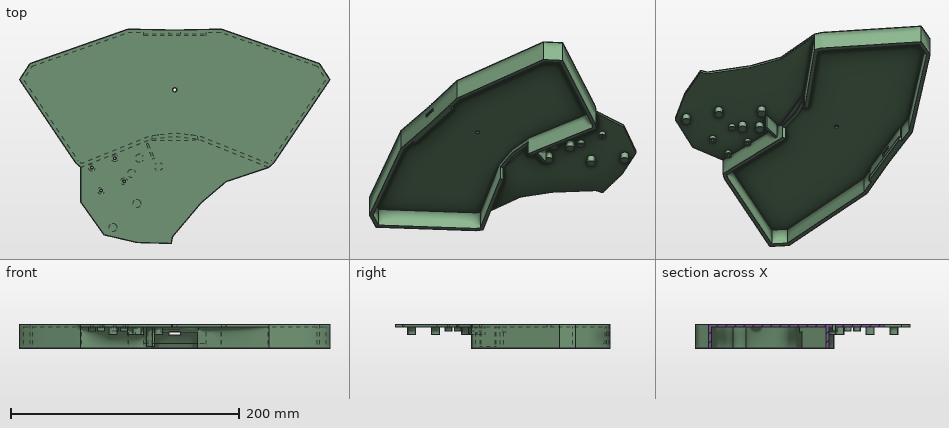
import cadquery as cq
import math

height = 21.0
roof_thickness = 2.5
roof_underside = height - roof_thickness
wall_thickness = 3.0

back_notch = (0, 52.5)
back_corner = (40.8, 53.3)
shoulder_corner = (126.6, 23.0)
side_corner = (136.0, 9.0)
hip_corner = (87.0, -63.5)
front_corner = (82.3, -68.0)
bay_corner = (20.7, -43.2)
bay_apex = (0, -40.8)

palm_rest_edge = [
    (-82.3, -98.0),
    (-62.0, -127.0),
    (-33.0, -133.7),
    (-3.0, -134.5),
    (-2.0, -128.5),
    (23.0, -99.0),
    (44.8, -80.5),
]

centre_hole_diameter = 3.5
screw_hole_diameter = 2.1
screw_boss_diameter = 6.0
screw_boss_length = 3.5
screw_pattern_corner = (-72.5, -68.0)
screw_pattern_pitch = 21.7
post_length = 6.5
post_diameter = 7.0
post_centres = [(-54.0, -120.5), (-33.2, -99.5), (-37.8, -73.0), (-31.0, -59.8), (-14.0, -67.0)]

bay_opening_width = 40.0
bay_opening_height = 14.5
lintel_bottom = 16.0
lintel_face_y = -44.3
lintel_bend_x = 13.0
lintel_bend_angle = 4.2

back_pad_width = 54.4
back_pad_face_y = 49.0
ledge_depth = 1.4
ledge_height = 4.3
port_width = 9.8
port_bottom = 11.7
port_top = 14.5

rib_corner = (-18.0, -59.8)
rib_length = 14.0
rib_thickness = 1.8
rib_bottom = 1.5

bay_wall_angle = math.atan2(bay_corner[1] - front_corner[1], front_corner[0] - bay_corner[0])


def mirrored(points):
    """Reflect the points about X = 0 and reverse their order."""
    return [(-x, y) for x, y in reversed(points)]


def along_bay_wall(start, forward, inward):
    """Move from start along the left bay wall and square to it, towards the back."""
    x = start[0] + forward * math.cos(bay_wall_angle) - inward * math.sin(bay_wall_angle)
    y = start[1] + forward * math.sin(bay_wall_angle) + inward * math.cos(bay_wall_angle)
    return (x, y)


def prism(points, bottom, top):
    return cq.Workplane("XY").workplane(offset=bottom).polyline(points).close().extrude(top - bottom)


def centred_box(width, front, back, bottom, top):
    """Box centred on X = 0 between two Y places and two heights."""
    box = cq.Workplane("XY").box(width, back - front, top - bottom, centered=(True, False, False))
    return box.translate((0, front, bottom))


def pins(centres, diameter, bottom, top):
    plane = cq.Workplane("XY").workplane(offset=bottom)
    return plane.pushPoints(centres).circle(diameter / 2).extrude(top - bottom)


outer_corners = [back_corner, shoulder_corner, side_corner, hip_corner, front_corner]
body_corners = outer_corners + [bay_corner]
roof_outline = [back_notch] + outer_corners + palm_rest_edge[::-1] + mirrored(outer_corners)
body_outline = [back_notch] + body_corners + [bay_apex] + mirrored(body_corners)


def walled_body():
    """Walls around a cavity that is open at the base, with an opening through the bay front."""
    cavity = cq.Workplane("XY").polyline(body_outline).close().offset2D(-wall_thickness)
    body = prism(body_outline, 0, height).cut(cavity.extrude(roof_underside))
    front_y = bay_corner[1] - wall_thickness
    back_y = bay_apex[1] + 2 * wall_thickness
    return body.cut(centred_box(bay_opening_width, front_y, back_y, 0, bay_opening_height))


def lintel():
    """Block below the roof whose front face bends back near its right end."""
    half_width, back_y = bay_corner[0], bay_apex[1]
    right_y = lintel_face_y + (half_width - lintel_bend_x) * math.tan(math.radians(lintel_bend_angle))
    outline = [
        (-half_width, lintel_face_y),
        (lintel_bend_x, lintel_face_y),
        (half_width, right_y),
        (half_width, back_y),
        (-half_width, back_y),
    ]
    return prism(outline, lintel_bottom, height)


def back_pad():
    back_y = back_notch[1] - wall_thickness / 2
    pad = centred_box(back_pad_width, back_pad_face_y, back_y, 0, height)
    return pad.union(centred_box(back_pad_width, back_pad_face_y - ledge_depth, back_y, 0, ledge_height))


def rib():
    outline = [
        rib_corner,
        along_bay_wall(rib_corner, 0, rib_length),
        along_bay_wall(rib_corner, -rib_thickness, rib_length),
        along_bay_wall(rib_corner, -rib_thickness, 0),
    ]
    return prism(outline, rib_bottom, height)


screw_centres = [
    along_bay_wall(screw_pattern_corner, forward, inward)
    for forward in (0, screw_pattern_pitch)
    for inward in (0, -screw_pattern_pitch)
]

post_bottom = roof_underside - post_length
screw_boss_bottom = roof_underside - screw_boss_length

result = prism(roof_outline, roof_underside, height).union(walled_body())
result = result.union(lintel()).union(back_pad()).union(rib())

result = result.union(pins(post_centres, post_diameter, post_bottom, height))
result = result.union(pins(screw_centres, screw_boss_diameter, screw_boss_bottom, height))

result = result.cut(pins(screw_centres, screw_hole_diameter, 0, height))
result = result.cut(pins([(0, 0)], centre_hole_diameter, 0, height))
result = result.cut(centred_box(port_width, back_pad_face_y, back_corner[1], port_bottom, port_top))